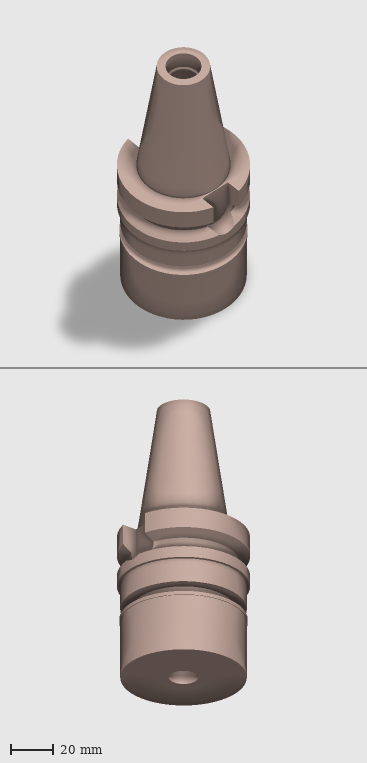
import cadquery as cq

TOTAL_HEIGHT = 140.4
SLEEVE_TOP = 28.8
RING_TOP = 30.6
COLLAR_BOTTOM = 36.0
FLANGE_BOTTOM = 48.0
LOWER_RIM_TOP = 53.6
GROOVE_BOTTOM = 56.7
GROOVE_TOP = 60.7
UPPER_RIM_BOTTOM = 63.7
FLANGE_TOP = 74.0
TAPER_BOTTOM = 75.0

FLANGE_DIAMETER = 63.0
GROOVE_DIAMETER = 53.0
TAPER_LARGE_DIAMETER = 44.5
TAPER_SMALL_DIAMETER = 25.3
BODY_DIAMETER = 60.0
RING_DIAMETER = 60.8
NECK_DIAMETER = 49.0
BORE_DIAMETER = 14.0
COUNTERBORE_DIAMETER = 17.0
COUNTERBORE_DEPTH = 9.0

SLOT_WIDTH = 16.1
SLOT_BOTTOM = 52.2
SLOT_FLOOR_DISTANCE = 22.6


def revolved_holder():
    """Taper, grooved flange, collar and long neck turned about Z."""
    outline = [
        (0, 0),
        (NECK_DIAMETER / 2, 0),
        (NECK_DIAMETER / 2, COLLAR_BOTTOM),
        (BODY_DIAMETER / 2, COLLAR_BOTTOM),
        (BODY_DIAMETER / 2, FLANGE_BOTTOM),
        (FLANGE_DIAMETER / 2, FLANGE_BOTTOM),
        (FLANGE_DIAMETER / 2, LOWER_RIM_TOP),
        (GROOVE_DIAMETER / 2, GROOVE_BOTTOM),
        (GROOVE_DIAMETER / 2, GROOVE_TOP),
        (FLANGE_DIAMETER / 2, UPPER_RIM_BOTTOM),
        (FLANGE_DIAMETER / 2, FLANGE_TOP),
        (TAPER_LARGE_DIAMETER / 2, FLANGE_TOP),
        (TAPER_LARGE_DIAMETER / 2, TAPER_BOTTOM),
        (TAPER_SMALL_DIAMETER / 2, TOTAL_HEIGHT),
        (0, TOTAL_HEIGHT),
    ]
    return cq.Workplane("XZ").polyline(outline).close().revolve(360, (0, 0), (0, 1))


def stepped_bore():
    """Through bore with a counterbore at the small end of the taper."""
    bore = cq.Workplane("XY").circle(BORE_DIAMETER / 2).extrude(TOTAL_HEIGHT)
    counterbore = (
        cq.Workplane("XY", origin=(0, 0, TOTAL_HEIGHT))
        .circle(COUNTERBORE_DIAMETER / 2)
        .extrude(-COUNTERBORE_DEPTH)
    )
    return bore.union(counterbore)


def drive_slot(side):
    """Round-bottomed slot cutter, open at the top; side is -1 or +1 along X."""
    radius = SLOT_WIDTH / 2
    arc_height = SLOT_BOTTOM + radius
    return (
        cq.Workplane("YZ", origin=(side * SLOT_FLOOR_DISTANCE, 0, 0))
        .moveTo(-radius, FLANGE_TOP)
        .lineTo(-radius, arc_height)
        .threePointArc((0, SLOT_BOTTOM), (radius, arc_height))
        .lineTo(radius, FLANGE_TOP)
        .close()
        .extrude(side * FLANGE_DIAMETER / 2)
    )


def make_holder():
    holder = revolved_holder().cut(stepped_bore())
    for side in (-1, 1):
        holder = holder.cut(drive_slot(side))
    return holder


def band_on_neck(diameter, bottom, top):
    """Plain annular band that fits around the holder neck."""
    return (
        cq.Workplane("XY", origin=(0, 0, bottom))
        .circle(diameter / 2)
        .circle(NECK_DIAMETER / 2)
        .extrude(top - bottom)
    )


holder = make_holder()
ring = band_on_neck(RING_DIAMETER, SLEEVE_TOP, RING_TOP)
sleeve = band_on_neck(BODY_DIAMETER, 0, SLEEVE_TOP)

result = cq.Compound.makeCompound([holder.val(), ring.val(), sleeve.val()])